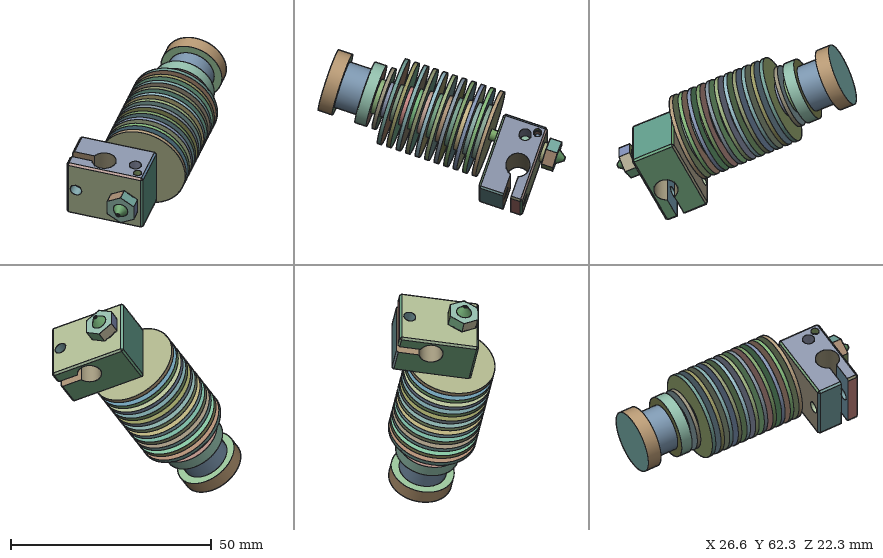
import cadquery as cq
import math


total_length = 62.3

collar_diameter = 16.0
top_collar_length = 3.7
mount_groove_diameter = 12.0
mount_groove_length = 6.0
lower_collar_length = 3.0
fin_diameter = 22.3
fin_thickness = 1.0
fin_stack_length = 30.0
large_fin_count = 11
core_start_diameter = 9.0
core_end_diameter = 14.0

heat_break_diameter = 2.8
heat_break_length = 2.1

block_width = 20.0
block_length = 11.5
block_height = 16.0
block_right_x = 4.5
block_chamfer = 0.5
heater_hole_diameter = 6.0
heater_hole_x = -6.9
clamp_offset = 7.55
clamp_slot_width = 2.0
clamp_screw_diameter = 3.0
clamp_screw_inset = 2.5
sensor_hole_diameter = 3.0
sensor_hole_x = 1.0
sensor_offset = 6.7
sensor_hole_depth = block_height / 2
set_screw_diameter = 2.0
set_screw_core_diameter = 1.55
set_screw_x = 2.5
set_screw_offset = 9.5
set_screw_thread_depth = 2.0
set_screw_hole_depth = 5.0

nozzle_neck_diameter = 5.0
hex_across_flats = 7.0
hex_length = 3.0
tip_base_diameter = 3.8
tip_end_diameter = 1.0
tip_length = 2.0
orifice_diameter = 0.4
orifice_depth = 0.6

hex_front_y = tip_length
hex_back_y = hex_front_y + hex_length
heatsink_length = top_collar_length + mount_groove_length + lower_collar_length + fin_stack_length
heatsink_front_y = total_length - heatsink_length
block_back_y = heatsink_front_y - heat_break_length
block_front_y = block_back_y - block_length
block_left_x = block_right_x - block_width
block_center_x = block_right_x - block_width / 2
block_center_y = block_back_y - block_length / 2
block_top_z = block_height / 2


def axial_cylinder(diameter, start_y, length, x=0.0):
    """Cylinder along +Y, starting at start_y."""
    return cq.Workplane("XZ", origin=(x, start_y, 0)).circle(diameter / 2).extrude(-length)


def top_hole(diameter, x, y, depth):
    """Cutter that goes straight down from the top face of the block."""
    return cq.Workplane("XY", origin=(x, y, block_top_z)).circle(diameter / 2).extrude(-depth)


def make_heatsink():
    lower_collar_y = heatsink_front_y + fin_stack_length
    groove_y = lower_collar_y + lower_collar_length
    top_collar_y = groove_y + mount_groove_length

    body = axial_cylinder(collar_diameter, top_collar_y, top_collar_length)
    body = body.union(axial_cylinder(mount_groove_diameter, groove_y, mount_groove_length))
    body = body.union(axial_cylinder(collar_diameter, lower_collar_y, lower_collar_length))

    fin_count = large_fin_count + 1
    fin_pitch = fin_stack_length / fin_count
    core_growth = (core_end_diameter - core_start_diameter) / (large_fin_count - 1)
    for step in range(fin_count):
        fin_y = lower_collar_y - fin_pitch * (step + 1)
        step_fin_diameter = collar_diameter if step == 0 else fin_diameter
        core_diameter = core_start_diameter + core_growth * max(step - 1, 0)
        body = body.union(axial_cylinder(core_diameter, fin_y, fin_pitch))
        body = body.union(axial_cylinder(step_fin_diameter, fin_y, fin_thickness))
    return body


def make_heater_block():
    block = (
        cq.Workplane("XY")
        .box(block_width, block_length, block_height)
        .edges()
        .chamfer(block_chamfer)
        .translate((block_center_x, block_center_y, 0))
    )

    clamp_y = block_back_y - clamp_offset
    slot_length = heater_hole_x - block_left_x
    slot = (
        cq.Workplane("XY")
        .box(slot_length, clamp_slot_width, block_height)
        .translate((block_left_x + slot_length / 2, clamp_y, 0))
    )
    block = block.cut(top_hole(heater_hole_diameter, heater_hole_x, clamp_y, block_height))
    block = block.cut(slot)
    clamp_screw_x = block_left_x + clamp_screw_inset
    block = block.cut(axial_cylinder(clamp_screw_diameter, block_front_y, block_length, clamp_screw_x))

    sensor_y = block_back_y - sensor_offset
    set_screw_y = block_back_y - set_screw_offset
    block = block.cut(top_hole(sensor_hole_diameter, sensor_hole_x, sensor_y, sensor_hole_depth))
    block = block.cut(top_hole(set_screw_diameter, set_screw_x, set_screw_y, set_screw_thread_depth))
    block = block.cut(top_hole(set_screw_core_diameter, set_screw_x, set_screw_y, set_screw_hole_depth))
    return block


def make_nozzle():
    neck = axial_cylinder(nozzle_neck_diameter, hex_back_y, block_front_y - hex_back_y)

    hex_corner_diameter = hex_across_flats / math.cos(math.pi / 6)
    hexagon = (
        cq.Workplane("XZ", origin=(0, hex_front_y, 0))
        .transformed(rotate=(0, 0, 90))
        .polygon(6, hex_corner_diameter)
        .extrude(-hex_length)
    )
    tip = (
        cq.Workplane("XY")
        .polyline([(0, 0), (tip_end_diameter / 2, 0), (tip_base_diameter / 2, tip_length), (0, tip_length)])
        .close()
        .revolve(360, (0, 0, 0), (0, 1, 0))
    )
    orifice = axial_cylinder(orifice_diameter, 0, orifice_depth)
    return neck.union(hexagon).union(tip).cut(orifice)


heat_break = axial_cylinder(heat_break_diameter, block_back_y, heat_break_length)

result = make_heatsink().union(heat_break).union(make_heater_block()).union(make_nozzle())